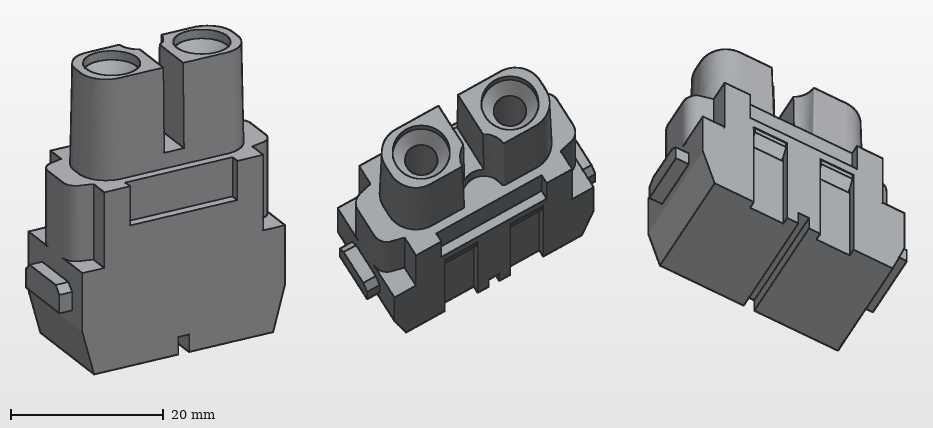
import cadquery as cq
import math

width = 14.6
outer_length = 34.2
length = 30.35
height = 40.6
body_height = 26.05
bevel_height = 6.55
bevel_inset = 1.8

step_height = 15.1
neck_y = 11.9
neck_half_width = 4.4
corner_diameter = 3.95
corner_centre_x = 2.05
corner_start_y = 13.48

window_length = 16.05
window_depth = 1.3
window_floor = 20.4
groove_width = 5.0
groove_pitch = 10.0
groove_top = 18.5
groove_depth = 1.0
latch_gap = 0.15
latch_bottom = 15.4
latch_ramp_top = 17.38
slot_width = 1.6
slot_height = 2.55

lug_reach = (outer_length - length) / 2
lug_bottom = 8.55
lug_top = 12.25
lug_chamfer = 1.0
front_lug_width = 9.1
back_lug_width = 7.05

tower_half_width = 4.75
tower_half_length = 12.05
tower_radius = 4.05
draft_inset = 0.3
tower_height = height - body_height
key_centre_x = -4.7
key_edge_radius = 0.4
key_edge_y = 3.25
tower_gap = 2.95
tower_gap_floor = 28.35

hole_pitch = 13.5
mouth_diameter = 7.5
mouth_depth = 1.3
bore_diameter = 4.25
funnel_depth = 2.9
bore_floor = body_height
pit_diameter = 2.0
seat_depth = 0.6
pit_depth = 0.8


def box(x_range, y_range, z_range):
    """Axis-aligned box between two limits on each axis."""
    (x0, x1), (y0, y1), (z0, z1) = x_range, y_range, z_range
    return cq.Workplane("XY").box(x1 - x0, y1 - y0, z1 - z0, centered=False).translate((x0, y0, z0))


def make_body():
    half = length / 2
    bottom_half = half - bevel_inset
    profile = [
        (-bottom_half, 0), (bottom_half, 0), (half, bevel_height),
        (half, body_height), (-half, body_height), (-half, bevel_height),
    ]
    return cq.Workplane("YZ").polyline(profile).close().extrude(width / 2, both=True)


def corner_step():
    """Material removed above the step at the +X +Y corner; its arc runs out tangent to the end face."""
    radius = corner_diameter / 2
    centre_y = length / 2 - radius
    start_angle = math.asin((corner_start_y - centre_y) / radius)
    middle_angle = (start_angle + math.pi / 2) / 2

    def arc_point(angle):
        return (corner_centre_x + radius * math.cos(angle), centre_y + radius * math.sin(angle))

    return (
        cq.Workplane("XY", origin=(0, 0, step_height))
        .moveTo(width / 2, neck_y)
        .lineTo(neck_half_width, neck_y)
        .lineTo(*arc_point(start_angle))
        .threePointArc(arc_point(middle_angle), (corner_centre_x, length / 2))
        .lineTo(width / 2, length / 2)
        .close()
        .extrude(body_height - step_height)
    )


def side_window():
    half = window_length / 2
    return box((-width / 2, -width / 2 + window_depth), (-half, half), (window_floor, body_height))


def latch_groove(y):
    """Groove in the -X face, open at the bottom, with a ramped latch left at its top."""
    face = -width / 2
    half = groove_width / 2
    groove = box((face, face + groove_depth), (y - half, y + half), (0, groove_top))
    latch = (
        cq.Workplane("XZ", origin=(0, y, 0))
        .polyline([
            (face, groove_top - latch_gap), (face, latch_ramp_top),
            (face + groove_depth, latch_bottom), (face + groove_depth, groove_top - latch_gap),
        ])
        .close()
        .extrude(half - latch_gap, both=True)
    )
    return groove.cut(latch)


def make_lug(lug_width, end):
    """Lug with chamfered upper corners; end is -1 for -Y and +1 for +Y."""
    half = lug_width / 2
    outline = [
        (-half, lug_bottom), (half, lug_bottom), (half, lug_top - lug_chamfer),
        (half - lug_chamfer, lug_top), (-half + lug_chamfer, lug_top), (-half, lug_top - lug_chamfer),
    ]
    plane = cq.Workplane("XZ", origin=(0, end * length / 2, 0))
    return plane.polyline(outline).close().extrude(-end * lug_reach)


def tower_wire(work, inset):
    """Long rounded outline with a round key notch in its -X side, shrunk by inset."""
    x = tower_half_width - inset
    y = tower_half_length - inset
    radius = tower_radius - inset
    edge = key_edge_radius - inset
    corner_x = x - radius
    corner_y = y - radius
    mid = radius * math.sqrt(0.5)

    edge_x = -tower_half_width + key_edge_radius
    notch = math.hypot(edge_x - key_centre_x, key_edge_y) - edge
    lean = math.atan2(key_edge_y, edge_x - key_centre_x)
    touch_x = key_centre_x + notch * math.cos(lean)
    touch_y = notch * math.sin(lean)

    turn = math.pi + lean / 2
    edge_mid_x = edge_x + edge * math.cos(turn)
    edge_mid_y = key_edge_y + edge * math.sin(turn)
    return (
        work.moveTo(-x, key_edge_y)
        .lineTo(-x, corner_y)
        .threePointArc((-corner_x - mid, corner_y + mid), (-corner_x, y))
        .lineTo(corner_x, y)
        .threePointArc((corner_x + mid, corner_y + mid), (x, corner_y))
        .lineTo(x, -corner_y)
        .threePointArc((corner_x + mid, -corner_y - mid), (corner_x, -y))
        .lineTo(-corner_x, -y)
        .threePointArc((-corner_x - mid, -corner_y - mid), (-x, -corner_y))
        .lineTo(-x, -key_edge_y)
        .threePointArc((edge_mid_x, -edge_mid_y), (touch_x, -touch_y))
        .threePointArc((key_centre_x + notch, 0), (touch_x, touch_y))
        .threePointArc((edge_mid_x, edge_mid_y), (-x, key_edge_y))
        .close()
    )


def make_towers():
    foot = tower_wire(cq.Workplane("XY", origin=(0, 0, body_height)), 0)
    towers = tower_wire(foot.workplane(offset=tower_height), draft_inset).loft(ruled=True)
    half = tower_gap / 2
    gap = box((-width / 2, width / 2), (-half, half), (tower_gap_floor, height))
    return towers.cut(gap)


def contact_hole(y):
    """Mouth, funnel, bore and pointed seat, turned about a vertical axis."""
    mouth = mouth_diameter / 2
    bore = bore_diameter / 2
    pit = pit_diameter / 2
    pit_top = bore_floor - seat_depth
    profile = [
        (0, height), (mouth, height), (mouth, height - mouth_depth),
        (bore, height - funnel_depth), (bore, bore_floor),
        (pit, pit_top), (0, pit_top - pit_depth),
    ]
    hole = cq.Workplane("XZ").polyline(profile).close().revolve(360, (0, 0, 0), (0, 1, 0))
    return hole.translate((0, y, 0))


result = make_body()

step = corner_step()
for corner in (step, step.mirror("YZ")):
    result = result.cut(corner).cut(corner.mirror("XZ"))

window = side_window()
result = result.cut(window).cut(window.mirror("YZ"))

for side in (-1, 1):
    result = result.cut(latch_groove(side * groove_pitch / 2))

slot = box((-width / 2, width / 2), (-slot_width / 2, slot_width / 2), (0, slot_height))
result = result.cut(slot)

result = result.union(make_lug(front_lug_width, -1)).union(make_lug(back_lug_width, 1))
result = result.union(make_towers())

for side in (-1, 1):
    result = result.cut(contact_hole(side * hole_pitch / 2))